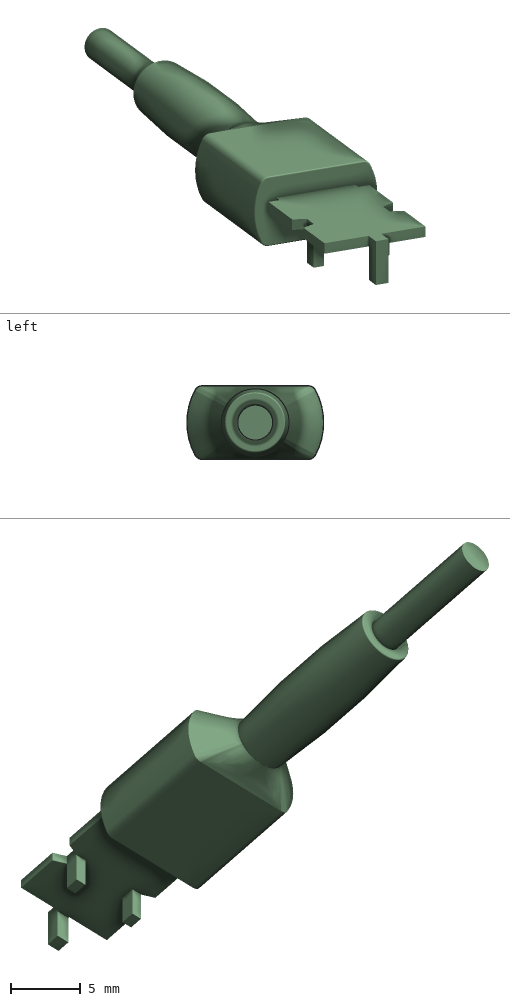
import cadquery as cq
import math


cable_diameter = 2.5
cable_free_length = 10.0

boot_length = 13.9
boot_end_diameter = 4.3
boot_middle_diameter = 4.9

end_rounding = 0.1

nose_length = 2.25
block_length = 9.85
housing_width = 9.8
housing_height = 5.3
housing_edge_radius = 0.65

plate_top = 0.95
plate_thickness = 0.8
plate_width = 8.0
neck_length = 0.5
neck_width = 6.25
plate_end = 45.85
notch_centre = 41.4
notch_floor_width = 1.1
notch_mouth_width = 1.9
notch_depth = 1.0
tab_width = 1.0
tab_end = 47.05

leg_bottom = -2.4
leg_width = 1.1

boot_start = cable_free_length
nose_start = boot_start + boot_length
block_start = nose_start + nose_length
block_end = block_start + block_length
plate_start = block_end + neck_length


def section_plane(x):
    """Cross-section plane at station x, with local x along Y and local y along Z."""
    return cq.Plane(origin=(x, 0, 0), xDir=(0, 1, 0), normal=(1, 0, 0))


def make_cable():
    """Straight cable that runs through the boot up to the housing."""
    return cq.Workplane(section_plane(0)).circle(cable_diameter / 2).extrude(nose_start)


def make_boot():
    """Barrel-shaped sleeve bored to fit the cable, with both rims of its open end rounded."""
    bore_radius = cable_diameter / 2
    end_radius = boot_end_diameter / 2
    middle = (boot_start + boot_length / 2, boot_middle_diameter / 2)
    return (
        cq.Workplane("XY")
        .moveTo(boot_start, bore_radius)
        .lineTo(boot_start, end_radius)
        .threePointArc(middle, (nose_start, end_radius))
        .lineTo(nose_start, bore_radius)
        .close()
        .revolve(360, (0, 0, 0), (1, 0, 0))
        .faces("<X")
        .edges()
        .fillet(end_rounding)
    )


side_radius = housing_width / 2
half_height = housing_height / 2
edge_centre_z = half_height - housing_edge_radius
edge_centre_y = math.sqrt((side_radius - housing_edge_radius) ** 2 - edge_centre_z**2)
side_angle = math.atan2(edge_centre_z, edge_centre_y)
flat_angle = math.atan2(half_height, edge_centre_y)


def polar(radius, angle):
    return (radius * math.cos(angle), radius * math.sin(angle))


def add_block_section(work):
    """Round sides, flat top and bottom, and rounded edges between them."""
    side_y, side_z = polar(side_radius, side_angle)
    flat_y, flat_z = edge_centre_y, half_height
    bend_y, bend_z = polar(housing_edge_radius, (side_angle + math.pi / 2) / 2)
    bend_y += edge_centre_y
    bend_z += edge_centre_z
    return (
        work.moveTo(side_y, -side_z)
        .threePointArc((side_radius, 0), (side_y, side_z))
        .threePointArc((bend_y, bend_z), (flat_y, flat_z))
        .lineTo(-flat_y, flat_z)
        .threePointArc((-bend_y, bend_z), (-side_y, side_z))
        .threePointArc((-side_radius, 0), (-side_y, -side_z))
        .threePointArc((-bend_y, -bend_z), (-flat_y, -flat_z))
        .lineTo(flat_y, -flat_z)
        .threePointArc((bend_y, -bend_z), (side_y, -side_z))
        .close()
    )


def add_nose_section(work):
    """Circle split into arcs at the same angles as the corners of the block section."""
    corner_angles = [
        -side_angle,
        side_angle,
        flat_angle,
        math.pi - flat_angle,
        math.pi - side_angle,
        math.pi + side_angle,
        math.pi + flat_angle,
        2 * math.pi - flat_angle,
        2 * math.pi - side_angle,
    ]
    radius = boot_end_diameter / 2
    work = work.moveTo(*polar(radius, corner_angles[0]))
    for start, end in zip(corner_angles, corner_angles[1:]):
        work = work.threePointArc(polar(radius, (start + end) / 2), polar(radius, end))
    return work.close()


def make_housing():
    """Block with a nose that tapers from the block section to the round boot end."""
    block = add_block_section(cq.Workplane(section_plane(block_start))).extrude(block_length)
    block = block.faces(">X").edges().fillet(end_rounding)
    nose_wire = add_nose_section(cq.Workplane(section_plane(nose_start))).val()
    block_wire = add_block_section(cq.Workplane(section_plane(block_start))).val()
    nose = cq.Solid.makeLoft([nose_wire, block_wire], True)
    return block.union(cq.Workplane(nose))


def box_between(x_range, y_range, z_range):
    sizes = [high - low for low, high in (x_range, y_range, z_range)]
    corner = (x_range[0], y_range[0], z_range[0])
    return cq.Workplane("XY").box(*sizes, centered=False).translate(corner)


def make_terminal():
    """Flat plate with a neck, two side notches, an end tab and three legs bent down."""
    plate_bottom = plate_top - plate_thickness
    plate_z = (plate_bottom, plate_top)
    leg_z = (leg_bottom, plate_top)
    half_plate = plate_width / 2
    notch_floor = half_plate - notch_depth

    terminal = box_between((plate_start, plate_end), (-half_plate, half_plate), plate_z)
    neck = box_between((block_end, plate_start), (-neck_width / 2, neck_width / 2), plate_z)
    tab = box_between((plate_end, tab_end), (-tab_width / 2, tab_width / 2), plate_z)
    terminal = terminal.union(neck).union(tab)

    end_leg = box_between((tab_end - leg_width, tab_end), (-tab_width / 2, tab_width / 2), leg_z)
    terminal = terminal.union(end_leg)

    leg_x = (notch_centre - leg_width / 2, notch_centre + leg_width / 2)
    for side in (-1, 1):
        notch = (
            cq.Workplane("XY", origin=(notch_centre, 0, plate_bottom))
            .moveTo(-notch_mouth_width / 2, side * half_plate)
            .lineTo(-notch_floor_width / 2, side * notch_floor)
            .lineTo(notch_floor_width / 2, side * notch_floor)
            .lineTo(notch_mouth_width / 2, side * half_plate)
            .close()
            .extrude(plate_thickness)
        )
        leg_y = sorted((side * notch_floor, side * (notch_floor - plate_thickness)))
        terminal = terminal.cut(notch).union(box_between(leg_x, leg_y, leg_z))
    return terminal


cable = make_cable()
boot = make_boot()
housing = make_housing()
terminal = make_terminal()

result = cq.Compound.makeCompound([cable.val(), boot.val(), housing.val(), terminal.val()])